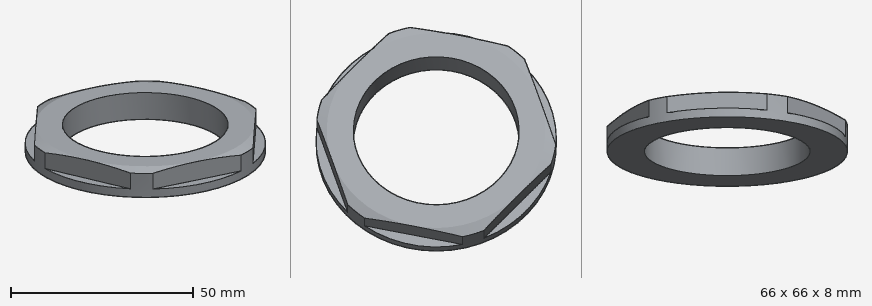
import cadquery as cq
import math

outer_diameter = 66.0
bore_diameter = 45.5
across_flats = 60.0
total_height = 8.0
flange_height = 2.5
chamfer_angle = 15.0

outer_radius = outer_diameter / 2
top_face_radius = across_flats / 2
chamfer_drop = (outer_radius - top_face_radius) * math.tan(math.radians(chamfer_angle))


def chamfered_disc():
    """Full-height disc whose top edge is coned down to the outer wall."""
    profile = (
        cq.Workplane("XZ")
        .moveTo(0, 0)
        .lineTo(outer_radius, 0)
        .lineTo(outer_radius, total_height - chamfer_drop)
        .lineTo(top_face_radius, total_height)
        .lineTo(0, total_height)
        .close()
    )
    return profile.revolve(360, (0, 0, 0), (0, 1, 0))


def hexagon_with_flange():
    """Hexagonal prism with corners on the X axis, standing on a round flange."""
    across_corners = across_flats / math.cos(math.pi / 6)
    hexagon = cq.Workplane("XY").polygon(6, across_corners).extrude(total_height)
    flange = cq.Workplane("XY").circle(outer_radius).extrude(flange_height)
    return hexagon.union(flange)


nut = chamfered_disc().intersect(hexagon_with_flange())
bore = cq.Workplane("XY").circle(bore_diameter / 2).extrude(total_height)
result = nut.cut(bore)